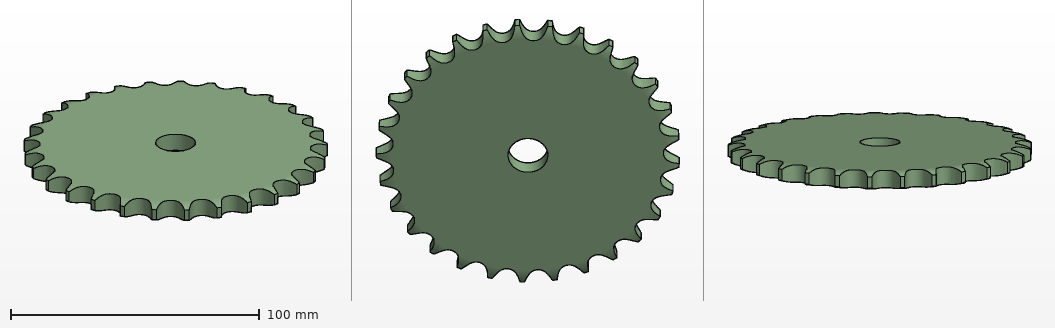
import cadquery as cq
import math

tooth_count = 29
outer_diameter = 122.0
pitch_diameter = 117.5
roller_diameter = 8.5
thickness = 7.2
bore_diameter = 16.0
flat_face_diameter = 110.6
side_round_radius = 13.0

outer_radius = outer_diameter / 2
pitch_radius = pitch_diameter / 2
bore_radius = bore_diameter / 2
flat_face_radius = flat_face_diameter / 2
tooth_angle = 2 * math.pi / tooth_count

seat_radius = 1.005 * roller_diameter / 2
seat_half_angle = math.radians(55 - 60 / tooth_count)
working_radius = 1.3025 * roller_diameter
working_angle = math.radians(18 - 56 / tooth_count)
topping_angle = math.radians(17 - 64 / tooth_count)
straight_length = roller_diameter * (1.4 * math.sin(topping_angle) - 0.8 * math.sin(working_angle))
topping_radius = (
    roller_diameter * (0.8 * math.cos(working_angle) + 1.4 * math.cos(topping_angle)) - working_radius
)


def polar(radius, angle):
    return (radius * math.cos(angle), radius * math.sin(angle))


def shifted(point, distance, direction):
    dx, dy = polar(distance, direction)
    return (point[0] + dx, point[1] + dy)


def turned(point, angle):
    x, y = point
    return polar(math.hypot(x, y), math.atan2(y, x) + angle)


def mirrored(point):
    return (point[0], -point[1])


def half_gap_points():
    """Points from the root to the tooth tip, on the +Y side of a gap centred on the X axis.

    The roller seat, the working curve, a short straight and the convex topping
    curve follow each other tangentially. The working and topping arcs each have a middle point.
    """
    seat_centre = (pitch_radius, 0)
    root = shifted(seat_centre, seat_radius, math.pi)
    seat_direction = math.pi - seat_half_angle
    seat_end = shifted(seat_centre, seat_radius, seat_direction)

    working_centre = shifted(seat_end, -working_radius, seat_direction)
    working_middle = shifted(working_centre, working_radius, seat_direction - working_angle / 2)
    flank_normal = seat_direction - working_angle
    working_end = shifted(working_centre, working_radius, flank_normal)
    straight_end = shifted(working_end, straight_length, flank_normal - math.pi / 2)

    topping_centre = shifted(straight_end, topping_radius, flank_normal)
    centre_distance = math.hypot(*topping_centre)
    centre_angle = math.atan2(topping_centre[1], topping_centre[0])
    square_sum = centre_distance**2 + outer_radius**2 - topping_radius**2
    cosine = square_sum / (2 * centre_distance * outer_radius)
    tip = polar(outer_radius, centre_angle - math.acos(cosine))
    chord_middle_x = (straight_end[0] + tip[0]) / 2
    chord_middle_y = (straight_end[1] + tip[1]) / 2
    middle_direction = math.atan2(chord_middle_y - topping_centre[1], chord_middle_x - topping_centre[0])
    topping_middle = shifted(topping_centre, topping_radius, middle_direction)

    return root, seat_end, working_middle, working_end, straight_end, topping_middle, tip


def tooth_prism():
    """Full-thickness prism with the toothed outline; one tooth points along -Y."""
    half_gap = half_gap_points()
    first_gap_angle = -math.pi / 2 + tooth_angle / 2
    outline = cq.Workplane("XY").moveTo(*turned(mirrored(half_gap[-1]), first_gap_angle))
    for index in range(tooth_count):
        gap_angle = first_gap_angle + index * tooth_angle
        root, seat_end, working_mid, working_end, straight_end, topping_mid, tip = [
            turned(point, gap_angle) for point in half_gap
        ]
        _, in_seat_end, in_working_mid, in_working_end, in_straight_end, in_topping_mid, _ = [
            turned(mirrored(point), gap_angle) for point in half_gap
        ]
        next_tip = turned(mirrored(half_gap[-1]), gap_angle + tooth_angle)
        outline = (
            outline.threePointArc(in_topping_mid, in_straight_end)
            .lineTo(*in_working_end)
            .threePointArc(in_working_mid, in_seat_end)
            .threePointArc(root, seat_end)
            .threePointArc(working_mid, working_end)
            .lineTo(*straight_end)
            .threePointArc(topping_mid, tip)
            .threePointArc(polar(outer_radius, gap_angle + tooth_angle / 2), next_tip)
        )
    return outline.close().extrude(thickness)


def rounded_blank():
    """Bored disc whose rim thins towards the tooth tips along arcs tangent to both faces."""
    rim_angle = math.asin((outer_radius - flat_face_radius) / side_round_radius)
    rim_drop = side_round_radius * (1 - math.cos(rim_angle))
    middle_radius = flat_face_radius + side_round_radius * math.sin(rim_angle / 2)
    middle_drop = side_round_radius * (1 - math.cos(rim_angle / 2))
    return (
        cq.Workplane("XZ")
        .moveTo(bore_radius, 0)
        .lineTo(flat_face_radius, 0)
        .threePointArc((middle_radius, middle_drop), (outer_radius, rim_drop))
        .lineTo(outer_radius, thickness - rim_drop)
        .threePointArc((middle_radius, thickness - middle_drop), (flat_face_radius, thickness))
        .lineTo(bore_radius, thickness)
        .close()
        .revolve(360, (0, 0, 0), (0, 1, 0))
    )


result = tooth_prism().intersect(rounded_blank())